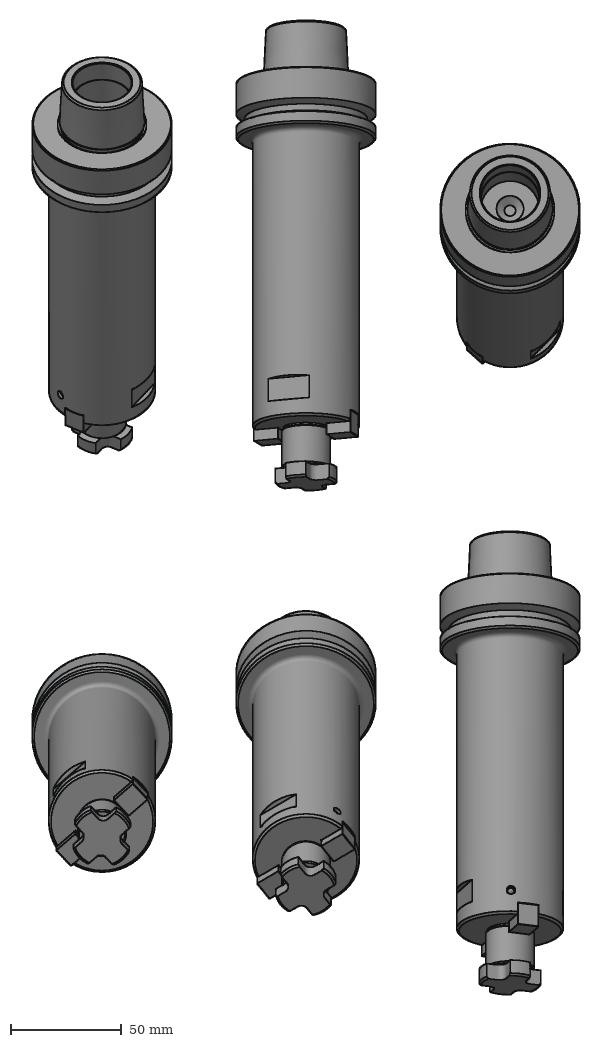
import cadquery as cq
import math

TOTAL_HEIGHT = 211.0
HEAD_HEIGHT = 7.2
PILOT_LENGTH = 18.8
BODY_BOTTOM_Z = HEAD_HEIGHT + PILOT_LENGTH
TAPER_HEIGHT = 25.0
FLANGE_TOP_Z = TOTAL_HEIGHT - TAPER_HEIGHT
FLANGE_BOTTOM_Z = 160.0

TAPER_TOP_RADIUS = 18.1
TAPER_BASE_RADIUS = 19.2
TAPER_CHAMFER = 0.8
RELIEF_INNER_RADIUS = 18.8
RELIEF_OUTER_RADIUS = 20.0
RELIEF_HEIGHT = 1.3
RELIEF_DEPTH = 0.8

FLANGE_DIAMETER = 63.0
FLANGE_RADIUS = FLANGE_DIAMETER / 2
FLANGE_TOP_CHAMFER = 0.53
FLANGE_BOTTOM_CHAMFER = 0.95
GROOVE_RADIUS = 27.6
GROOVE_BOTTOM_Z = 165.2
GROOVE_TOP_Z = 171.5
GROOVE_LOWER_SLOPE = 1.5
GROOVE_UPPER_SLOPE = 2.0

BODY_RADIUS = 24.0
BODY_FILLET = 2.1
BODY_CHAMFER = 1.0
PILOT_RADIUS = 11.0
PILOT_CHAMFER = 0.6
PILOT_NECK_RADIUS = 10.3
PILOT_NECK_HEIGHT = 0.8
PILOT_NECK_SLOPE = 0.6

BORE_RADIUS = 13.3
BORE_CHAMFER = 0.5
BORE_STEP_DEPTH = 10.0
BORE_LOWER_RADIUS = 13.0
BORE_DEPTH = 23.2
RECESS_RIM_CHAMFER = 0.6
RECESS_TOP_RADIUS = 5.5
RECESS_BOTTOM_RADIUS = 2.5
RECESS_DEPTH = 3.0

FLAT_OFFSET = 22.0
FLAT_BOTTOM_Z = 34.2
FLAT_HEIGHT = 10.3
FLAT_END_FLARE = 0.5

KEY_WIDTH = 10.0
KEY_DROP = 5.0
KEY_HEIGHT = 10.3
KEY_INNER_Y = 11.5
KEY_OUTER_Y = 23.5
KEY_CHAMFER = 0.2
KEY_LENGTH = KEY_OUTER_Y - KEY_INNER_Y
KEY_BOTTOM_Z = BODY_BOTTOM_Z - KEY_DROP
KEY_TOP_Z = KEY_BOTTOM_Z + KEY_HEIGHT

HEAD_RADIUS = 14.0
HEAD_CHAMFER = 0.95
LOBE_WIDTH = 9.7
NOTCH_RADIUS = 3.2
SHANK_RADIUS = 5.0
SHANK_LENGTH = 25.3

SET_SCREW_RADIUS = 2.0
SET_SCREW_X = -8.0
SET_SCREW_Z = 37.1
SET_SCREW_LENGTH = 5.3
SET_SCREW_POINT = 1.0
SET_SCREW_POINT_RADIUS = 1.5
SET_SCREW_SINK = 0.6


def turned_holder():
    """Everything on the holder that is round about Z, from the pilot up to the bore in the taper."""
    neck_z = BODY_BOTTOM_Z - PILOT_NECK_HEIGHT
    bore_step_z = TOTAL_HEIGHT - BORE_STEP_DEPTH
    bore_floor_z = TOTAL_HEIGHT - BORE_DEPTH
    fillet_center_r = BODY_RADIUS + BODY_FILLET
    fillet_center_z = FLANGE_BOTTOM_Z - BODY_FILLET
    fillet_half = BODY_FILLET * math.sqrt(0.5)
    return (
        cq.Workplane("XZ")
        .moveTo(0, HEAD_HEIGHT)
        .lineTo(PILOT_RADIUS - PILOT_CHAMFER, HEAD_HEIGHT)
        .lineTo(PILOT_RADIUS, HEAD_HEIGHT + PILOT_CHAMFER)
        .lineTo(PILOT_RADIUS, neck_z - PILOT_NECK_SLOPE)
        .lineTo(PILOT_NECK_RADIUS, neck_z)
        .lineTo(PILOT_NECK_RADIUS, BODY_BOTTOM_Z)
        .lineTo(BODY_RADIUS - BODY_CHAMFER, BODY_BOTTOM_Z)
        .lineTo(BODY_RADIUS, BODY_BOTTOM_Z + BODY_CHAMFER)
        .lineTo(BODY_RADIUS, fillet_center_z)
        .threePointArc(
            (fillet_center_r - fillet_half, fillet_center_z + fillet_half),
            (fillet_center_r, FLANGE_BOTTOM_Z),
        )
        .lineTo(FLANGE_RADIUS - FLANGE_BOTTOM_CHAMFER, FLANGE_BOTTOM_Z)
        .lineTo(FLANGE_RADIUS, FLANGE_BOTTOM_Z + FLANGE_BOTTOM_CHAMFER)
        .lineTo(FLANGE_RADIUS, GROOVE_BOTTOM_Z)
        .lineTo(GROOVE_RADIUS, GROOVE_BOTTOM_Z + GROOVE_LOWER_SLOPE)
        .lineTo(GROOVE_RADIUS, GROOVE_TOP_Z - GROOVE_UPPER_SLOPE)
        .lineTo(FLANGE_RADIUS, GROOVE_TOP_Z)
        .lineTo(FLANGE_RADIUS, FLANGE_TOP_Z - FLANGE_TOP_CHAMFER)
        .lineTo(FLANGE_RADIUS - FLANGE_TOP_CHAMFER, FLANGE_TOP_Z)
        .lineTo(RELIEF_OUTER_RADIUS, FLANGE_TOP_Z)
        .lineTo(RELIEF_OUTER_RADIUS, FLANGE_TOP_Z - RELIEF_DEPTH)
        .lineTo(RELIEF_INNER_RADIUS, FLANGE_TOP_Z - RELIEF_DEPTH)
        .lineTo(RELIEF_INNER_RADIUS, FLANGE_TOP_Z + RELIEF_HEIGHT)
        .lineTo(TAPER_BASE_RADIUS, FLANGE_TOP_Z + RELIEF_HEIGHT)
        .lineTo(TAPER_TOP_RADIUS, TOTAL_HEIGHT - TAPER_CHAMFER)
        .lineTo(TAPER_TOP_RADIUS - TAPER_CHAMFER, TOTAL_HEIGHT)
        .lineTo(BORE_RADIUS + BORE_CHAMFER, TOTAL_HEIGHT)
        .lineTo(BORE_RADIUS, TOTAL_HEIGHT - BORE_CHAMFER)
        .lineTo(BORE_RADIUS, bore_step_z)
        .lineTo(BORE_LOWER_RADIUS, bore_step_z)
        .lineTo(BORE_LOWER_RADIUS, bore_floor_z)
        .lineTo(RECESS_TOP_RADIUS + RECESS_RIM_CHAMFER, bore_floor_z)
        .lineTo(RECESS_TOP_RADIUS, bore_floor_z - RECESS_RIM_CHAMFER)
        .lineTo(RECESS_BOTTOM_RADIUS, bore_floor_z - RECESS_DEPTH)
        .lineTo(0, bore_floor_z - RECESS_DEPTH)
        .close()
        .revolve(360, (0, 0, 0), (0, 1, 0))
    )


def wrench_flat_cutter(side):
    """Prism that mills one flat; side is -1 for -X and 1 for +X."""
    inner_x = side * FLAT_OFFSET
    outer_x = side * BODY_RADIUS
    top_z = FLAT_BOTTOM_Z + FLAT_HEIGHT
    return (
        cq.Workplane("XZ")
        .polyline([
            (inner_x, FLAT_BOTTOM_Z),
            (outer_x, FLAT_BOTTOM_Z - FLAT_END_FLARE),
            (outer_x, top_z + FLAT_END_FLARE),
            (inner_x, top_z),
        ])
        .close()
        .extrude(BODY_RADIUS, both=True)
    )


def key_slot_cutter(side):
    """Slot for one key, open at the face and at the rim of the body."""
    slot_length = BODY_RADIUS - KEY_INNER_Y
    return (
        cq.Workplane("XY", origin=(0, side * (KEY_INNER_Y + slot_length / 2), BODY_BOTTOM_Z))
        .rect(KEY_WIDTH, slot_length)
        .extrude(KEY_TOP_Z - BODY_BOTTOM_Z)
    )


def driving_key(side):
    """Key block with chamfered ends; it is one piece with the holder."""
    return (
        cq.Workplane("XY", origin=(0, side * (KEY_INNER_Y + KEY_LENGTH / 2), KEY_BOTTOM_Z))
        .rect(KEY_WIDTH, KEY_LENGTH)
        .extrude(KEY_HEIGHT)
        .faces("<Y or >Y")
        .edges()
        .chamfer(KEY_CHAMFER)
    )


def screw_shank():
    """Shank of the clamping screw, which also cuts its own hole in the holder."""
    return cq.Workplane("XY", origin=(0, 0, HEAD_HEIGHT)).circle(SHANK_RADIUS).extrude(SHANK_LENGTH)


def make_clamping_screw():
    """Chamfered disc trimmed to four lobes by a quarter-round notch between each pair, plus shank."""
    disc = cq.Workplane("XY").circle(HEAD_RADIUS).extrude(HEAD_HEIGHT)
    head = disc.faces("<Z").edges().chamfer(HEAD_CHAMFER)
    notch_size = HEAD_RADIUS
    notch_center = LOBE_WIDTH / 2 + notch_size / 2
    for quarter in range(4):
        notch = (
            cq.Workplane("XY")
            .center(notch_center, notch_center)
            .rect(notch_size, notch_size)
            .extrude(HEAD_HEIGHT)
            .edges("|Z and <X and <Y")
            .fillet(NOTCH_RADIUS)
            .rotate((0, 0, 0), (0, 0, 1), 90 * quarter)
        )
        head = head.cut(notch)
    return head.union(screw_shank())


def set_screw_plane():
    """Plane on the body surface at the set screw, with its normal pointing away from the axis."""
    surface_y = -math.sqrt(BODY_RADIUS**2 - SET_SCREW_X**2)
    return cq.Plane(
        origin=(SET_SCREW_X, surface_y, SET_SCREW_Z),
        xDir=(0, 0, 1),
        normal=(SET_SCREW_X, surface_y, 0),
    )


def set_screw_hole():
    """Radial hole that starts outside the body and ends at the inner end of the set screw."""
    depth = SET_SCREW_SINK + SET_SCREW_LENGTH
    clearance = SET_SCREW_RADIUS
    return (
        cq.Workplane(set_screw_plane())
        .workplane(offset=-depth)
        .circle(SET_SCREW_RADIUS)
        .extrude(depth + clearance)
    )


def make_set_screw():
    """Cylinder with a conical outer end, its tip sunk below the body surface."""
    point_base = SET_SCREW_LENGTH - SET_SCREW_POINT
    return (
        cq.Workplane(set_screw_plane())
        .workplane(offset=-SET_SCREW_SINK - SET_SCREW_LENGTH)
        .transformed(rotate=(90, 0, 0))
        .polyline([
            (0, 0),
            (SET_SCREW_RADIUS, 0),
            (SET_SCREW_RADIUS, point_base),
            (SET_SCREW_POINT_RADIUS, point_base),
            (0, SET_SCREW_LENGTH),
        ])
        .close()
        .revolve(360, (0, 0, 0), (0, 1, 0))
    )


def make_holder():
    holder = turned_holder()
    for side in (-1, 1):
        holder = holder.cut(wrench_flat_cutter(side))
        holder = holder.cut(key_slot_cutter(side))
        holder = holder.union(driving_key(side))
    return holder.cut(screw_shank()).cut(set_screw_hole())


holder = make_holder()
clamping_screw = make_clamping_screw()
set_screw = make_set_screw()

result = cq.Compound.makeCompound([holder.val(), clamping_screw.val(), set_screw.val()])